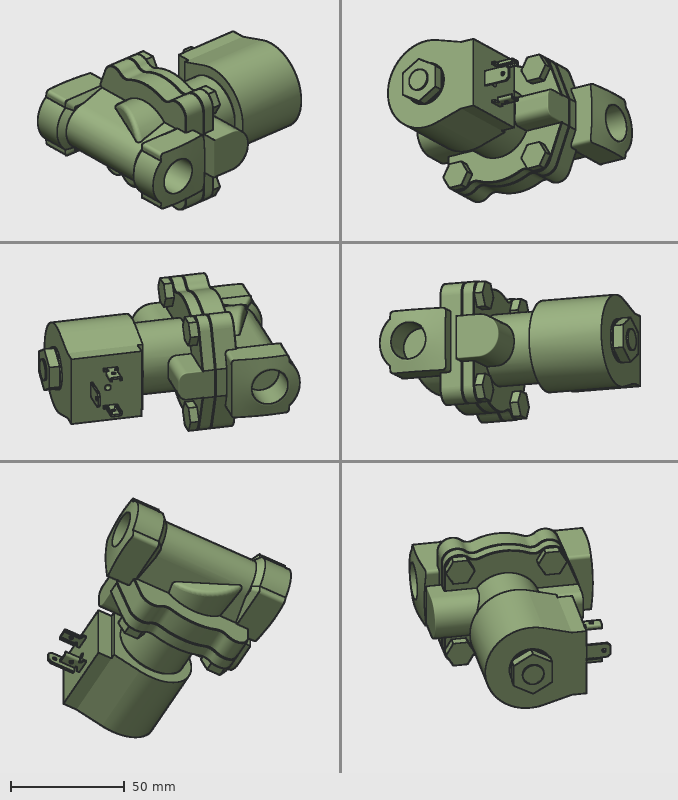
import cadquery as cq
import math


LENGTH = 78.2
DEPTH = 105.6
HEIGHT = 54.2

PIPE_RADIUS = 11.1
COLLAR_HALF = 13.9
COLLAR_TOP = 16.9
COLLAR_BOTTOM = -9.1
COLLAR_INNER_X = 25.3
COLLAR_CORNER = 1.6
END_FACE_RADIUS = 9.1
END_FACE_SLOPE = 10.0
BORE_RADIUS = 8.2
BORE_DEPTH = 14.8

FLANGE_BOTTOM = 11.7
FLANGE_SPLIT = 22.1
FLANGE_TOP = 27.9
COIL_BOTTOM = 51.1
COIL_TOP = 85.3
STEM_TOP = DEPTH - COLLAR_HALF

AXIS_X = 3.9
FLANGE_RADIUS = HEIGHT / 2
LOBE_RADIUS = 6.4
BOLT_OFFSET = FLANGE_RADIUS - LOBE_RADIUS
VALLEY_RADIUS = 4.9
FLANGE_CHAMFER = 0.3
WALL_HALF_AT_FLANGE = 13.3

BOLT_HEAD_CORNERS = 12.9
BOLT_HEAD_HEIGHT = 3.9

LEFT_PORT_X = -29.1
LEFT_PORT_HALF = 6.5
LEFT_PORT_TOP = 38.7
LEFT_PORT_ROUND = 3.9
RIGHT_PORT_X = 37.9
RIGHT_PORT_HALF = 9.6
RIGHT_PORT_TOP = 42.2
PORT_EDGE = 0.4

BOWL_RADIUS = 18.5
BOWL_SLOPE = 22.0
BOWL_AXIS_Y = 0.3
BOWL_FILLET = 1.9

NECK_RADIUS = 15.8
NECK_CHAMFER = 0.8
COIL_RADIUS = 20.3
COIL_FACE_X = -14.6
CONNECTOR_HALF = 15.7
CONNECTOR_FACE_X = -21.1
CONNECTOR_BOTTOM = 53.4
WASHER_RADIUS = 9.5
WASHER_TOP = 86.1
NUT_FLATS = 17.3
NUT_TOP = 90.9
STEM_RADIUS = 4.8

SHEET = 1.0
EMBED = 1.1
GROUND_Y = 76.1
GROUND_TIP_X = -33.7
GROUND_HALF = 3.4
GROUND_TIP_CUT = 1.4
GROUND_HOLE_FROM_TIP = 3.0
CONTACT_Y = 67.7
CONTACT_OUTER_Z = 9.5
CONTACT_TIP_X = -31.1
CONTACT_CHANNEL_END_X = -23.9
CONTACT_NECK_END_X = -23.3
CONTACT_FOOT_X = -22.6
CONTACT_FOOT_HALF = 3.2
CONTACT_SHOULDER_HALF = 2.2
CONTACT_NECK_HALF = 1.4
CONTACT_HALF = 2.6
CONTACT_HEIGHT = 1.9
CONTACT_LIP = 0.7
CONTACT_BEND = 1.1
CONTACT_HOLE_X = -26.8
TERMINAL_HOLE = 1.7
SCREW_Y = 68.7
SCREW_RADIUS = 1.4
SCREW_DEPTH = 1.4


def tangent_point(center, radius, outside, turn):
    """Point where a line from an outside point touches a circle; turn +1 or -1 picks the side."""
    du = outside[0] - center[0]
    dv = outside[1] - center[1]
    angle = math.atan2(dv, du) + turn * math.acos(radius / math.hypot(du, dv))
    return on_circle(center, radius, angle)


def on_circle(center, radius, angle):
    return (center[0] + radius * math.cos(angle), center[1] + radius * math.sin(angle))


def arc_middle(center, radius, start, end):
    """Middle point of the short arc from start to end."""
    du = start[0] + end[0] - 2 * center[0]
    dv = start[1] + end[1] - 2 * center[1]
    return on_circle(center, radius, math.atan2(dv, du))


def box(x, y, z):
    """Box from (low, high) ranges on the three axes."""
    size = (x[1] - x[0], y[1] - y[0], z[1] - z[0])
    return cq.Workplane("XY").box(*size, centered=False).translate((x[0], y[0], z[0]))


def across(y, x=AXIS_X):
    """Workplane square to the valve axis at height y; extruding goes towards -Y."""
    return cq.Workplane("XZ", origin=(x, y, 0))


def disc(radius, low, high):
    return across(high).circle(radius).extrude(high - low)


def with_mirror(half, plane):
    return half.union(half.mirror(plane))


def pipe_body():
    """Pipe whose upper sides rise tangentially to the flange."""
    wall_top = (FLANGE_BOTTOM, WALL_HALF_AT_FLANGE)
    touch = tangent_point((0, 0), PIPE_RADIUS, wall_top, 1)
    return (
        cq.Workplane("YZ", origin=(-COLLAR_INNER_X, 0, 0))
        .moveTo(wall_top[0], -wall_top[1])
        .lineTo(touch[0], -touch[1])
        .threePointArc((-PIPE_RADIUS, 0), touch)
        .lineTo(*wall_top)
        .close()
        .extrude(2 * COLLAR_INNER_X)
    )


def right_collar():
    """Square block joined to a round, with a conical end face and a 45 degree taper to the pipe."""
    end_x = LENGTH / 2
    taper = COLLAR_HALF - PIPE_RADIUS
    block_height = COLLAR_TOP - COLLAR_BOTTOM
    block_middle = (COLLAR_TOP + COLLAR_BOTTOM) / 2
    straight = end_x - COLLAR_INNER_X

    section = cq.Workplane("YZ", origin=(COLLAR_INNER_X, 0, 0))
    rounded = (
        section.center(block_middle, 0)
        .rect(block_height, 2 * COLLAR_HALF)
        .extrude(straight)
        .edges("|X")
        .fillet(COLLAR_CORNER)
        .union(section.circle(COLLAR_HALF).extrude(straight))
    )
    inner_taper = (
        section.center(block_middle, 0)
        .rect(block_height, 2 * COLLAR_HALF)
        .extrude(-taper, taper=45)
        .edges("not #X")
        .fillet(COLLAR_CORNER)
        .union(section.circle(COLLAR_HALF).extrude(-taper, taper=45))
    )

    reach = 2 * COLLAR_TOP
    drop = (reach - END_FACE_RADIUS) * math.tan(math.radians(END_FACE_SLOPE))
    end_cone = (
        cq.Workplane("XY")
        .polyline([(0, 0), (end_x, 0), (end_x, END_FACE_RADIUS), (end_x - drop, reach), (0, reach)])
        .close()
        .revolve(360, (0, 0, 0), (1, 0, 0))
    )
    return rounded.intersect(end_cone).union(inner_taper)


def right_bore():
    start_x = LENGTH / 2 - BORE_DEPTH
    return cq.Workplane("YZ", origin=(start_x, 0, 0)).circle(BORE_RADIUS).extrude(BORE_DEPTH)


def flange_plate(low, high):
    """Flange outline: four bolt lobes, two middle arcs, and a taper towards the left port."""
    port_corner = (LEFT_PORT_X - AXIS_X, LEFT_PORT_HALF)
    left_lobe = (-BOLT_OFFSET, BOLT_OFFSET)
    right_lobe = (BOLT_OFFSET, BOLT_OFFSET)
    taper_end = tangent_point(left_lobe, LOBE_RADIUS, port_corner, -1)

    to_axis = FLANGE_RADIUS + VALLEY_RADIUS
    to_lobe = LOBE_RADIUS + VALLEY_RADIUS
    lobe_distance = math.hypot(*right_lobe)
    swing = math.acos((to_axis**2 + lobe_distance**2 - to_lobe**2) / (2 * to_axis * lobe_distance))
    valley_angle = math.atan2(right_lobe[1], right_lobe[0]) + swing
    valley = on_circle((0, 0), to_axis, valley_angle)
    arc_end = on_circle((0, 0), FLANGE_RADIUS, valley_angle)
    lobe_angle = math.atan2(valley[1] - right_lobe[1], valley[0] - right_lobe[0])
    lobe_start = on_circle(right_lobe, LOBE_RADIUS, lobe_angle)
    right_side = (BOLT_OFFSET + LOBE_RADIUS, BOLT_OFFSET)
    valley_middle = arc_middle(valley, VALLEY_RADIUS, arc_end, lobe_start)

    def flip(point):
        return (-point[0], point[1])

    half = (
        across(high)
        .moveTo(port_corner[0], 0)
        .lineTo(*port_corner)
        .lineTo(*taper_end)
        .threePointArc(arc_middle(left_lobe, LOBE_RADIUS, taper_end, flip(lobe_start)), flip(lobe_start))
        .threePointArc(flip(valley_middle), flip(arc_end))
        .threePointArc((0, FLANGE_RADIUS), arc_end)
        .threePointArc(valley_middle, lobe_start)
        .threePointArc(arc_middle(right_lobe, LOBE_RADIUS, lobe_start, right_side), right_side)
        .lineTo(right_side[0], 0)
        .close()
        .extrude(high - low)
    )
    return with_mirror(half, "XY").clean().faces("<Y or >Y").edges().chamfer(FLANGE_CHAMFER)


def bolt_heads():
    return (
        across(FLANGE_TOP + BOLT_HEAD_HEIGHT)
        .rect(2 * BOLT_OFFSET, 2 * BOLT_OFFSET, forConstruction=True)
        .vertices()
        .polygon(6, BOLT_HEAD_CORNERS)
        .extrude(BOLT_HEAD_HEIGHT)
    )


def left_port():
    bottom = FLANGE_SPLIT + FLANGE_CHAMFER
    port = box((LEFT_PORT_X, AXIS_X), (bottom, LEFT_PORT_TOP), (-LEFT_PORT_HALF, LEFT_PORT_HALF))
    port = port.edges("|X and >Y").fillet(LEFT_PORT_ROUND)
    return port.faces("<X").edges("not <Y").fillet(PORT_EDGE)


def right_port():
    """Port with a fully round top."""
    axis_y = RIGHT_PORT_TOP - RIGHT_PORT_HALF
    port = (
        cq.Workplane("YZ", origin=(AXIS_X, 0, 0))
        .moveTo(FLANGE_SPLIT, RIGHT_PORT_HALF)
        .lineTo(axis_y, RIGHT_PORT_HALF)
        .threePointArc((RIGHT_PORT_TOP, 0), (axis_y, -RIGHT_PORT_HALF))
        .lineTo(FLANGE_SPLIT, -RIGHT_PORT_HALF)
        .close()
        .extrude(RIGHT_PORT_X - AXIS_X)
    )
    return port.faces(">X").edges().fillet(PORT_EDGE)


def bowl():
    """Round bowl closed by a sloping face with a rounded rim."""
    slope = math.tan(math.radians(BOWL_SLOPE))
    reach = 2 * BOWL_RADIUS
    above = (
        cq.Workplane("XY", origin=(AXIS_X, BOWL_AXIS_Y, -reach))
        .polyline([(-reach, reach * slope), (reach, -reach * slope), (reach, reach), (-reach, reach)])
        .close()
        .extrude(2 * reach)
    )
    solid = disc(BOWL_RADIUS, -reach, FLANGE_BOTTOM + FLANGE_CHAMFER).intersect(above)
    return solid.faces("<Y").edges().fillet(BOWL_FILLET)


def coil():
    """Round coil running tangentially into the flat connector side."""
    face_corner = (COIL_FACE_X - AXIS_X, CONNECTOR_HALF)
    touch = tangent_point((0, 0), COIL_RADIUS, face_corner, -1)
    body = (
        across(COIL_TOP)
        .moveTo(*face_corner)
        .lineTo(*touch)
        .threePointArc((COIL_RADIUS, 0), (touch[0], -touch[1]))
        .lineTo(face_corner[0], -face_corner[1])
        .close()
        .extrude(COIL_TOP - COIL_BOTTOM)
    )
    connector = box(
        (CONNECTOR_FACE_X, COIL_FACE_X),
        (CONNECTOR_BOTTOM, COIL_TOP),
        (-CONNECTOR_HALF, CONNECTOR_HALF),
    )
    screw_dimple = cq.Workplane("XY").add(
        cq.Solid.makeCone(
            SCREW_RADIUS, 0, SCREW_DEPTH, cq.Vector(CONNECTOR_FACE_X, SCREW_Y, 0), cq.Vector(1, 0, 0)
        )
    )
    return body.union(connector).cut(screw_dimple)


def neck():
    return disc(NECK_RADIUS, FLANGE_BOTTOM, COIL_BOTTOM).faces(">Y").edges().chamfer(NECK_CHAMFER)


def nut_and_stem():
    nut_corners = NUT_FLATS / math.cos(math.radians(30))
    nut = (
        across(NUT_TOP)
        .transformed(rotate=(0, 0, 90))
        .polygon(6, nut_corners)
        .extrude(NUT_TOP - WASHER_TOP)
    )
    return disc(WASHER_RADIUS, COIL_TOP, WASHER_TOP).union(nut).union(disc(STEM_RADIUS, COIL_TOP, STEM_TOP))


def ground_blade():
    blade = box(
        (GROUND_TIP_X, CONNECTOR_FACE_X + EMBED),
        (GROUND_Y - SHEET / 2, GROUND_Y + SHEET / 2),
        (-GROUND_HALF, GROUND_HALF),
    )
    blade = blade.edges("|Y and <X").chamfer(GROUND_TIP_CUT)
    hole = across(GROUND_Y + SHEET, GROUND_TIP_X + GROUND_HOLE_FROM_TIP).circle(TERMINAL_HOLE / 2)
    return blade.cut(hole.extrude(2 * SHEET))


def contact():
    """Upper contact: a flat foot and neck carrying a channel with its lips turned towards Z = 0."""
    plate_bottom = CONTACT_OUTER_Z - SHEET
    half_outline = [
        (CONTACT_TIP_X, 0),
        (CONTACT_TIP_X, CONTACT_NECK_HALF),
        (CONTACT_NECK_END_X, CONTACT_NECK_HALF),
        (CONTACT_FOOT_X, CONTACT_SHOULDER_HALF),
        (CONTACT_FOOT_X, CONTACT_FOOT_HALF),
        (CONNECTOR_FACE_X + EMBED, CONTACT_FOOT_HALF),
        (CONNECTOR_FACE_X + EMBED, 0),
    ]
    plate = (
        cq.Workplane("XY", origin=(0, CONTACT_Y, plate_bottom))
        .polyline(half_outline)
        .mirrorX()
        .extrude(SHEET)
    )
    channel = box(
        (CONTACT_TIP_X, CONTACT_CHANNEL_END_X),
        (CONTACT_Y - CONTACT_HALF, CONTACT_Y + CONTACT_HALF),
        (CONTACT_OUTER_Z - CONTACT_HEIGHT, CONTACT_OUTER_Z),
    )
    channel = channel.edges("|X and >Z").fillet(CONTACT_BEND)
    groove_half = CONTACT_HALF - CONTACT_LIP
    groove = box(
        (CONTACT_TIP_X, CONTACT_CHANNEL_END_X),
        (CONTACT_Y - groove_half, CONTACT_Y + groove_half),
        (CONTACT_OUTER_Z - CONTACT_HEIGHT, plate_bottom),
    )
    hole = (
        cq.Workplane("XY", origin=(CONTACT_HOLE_X, CONTACT_Y, plate_bottom))
        .circle(TERMINAL_HOLE / 2)
        .extrude(SHEET)
    )
    return plate.union(channel).cut(groove).cut(hole)


result = pipe_body()
for feature in (
    bowl(),
    with_mirror(right_collar(), "YZ"),
    flange_plate(FLANGE_BOTTOM, FLANGE_SPLIT),
    flange_plate(FLANGE_SPLIT, FLANGE_TOP),
    bolt_heads(),
    left_port(),
    right_port(),
    neck(),
    coil(),
    nut_and_stem(),
    ground_blade(),
    with_mirror(contact(), "XY"),
):
    result = result.union(feature)
result = result.cut(with_mirror(right_bore(), "YZ"))